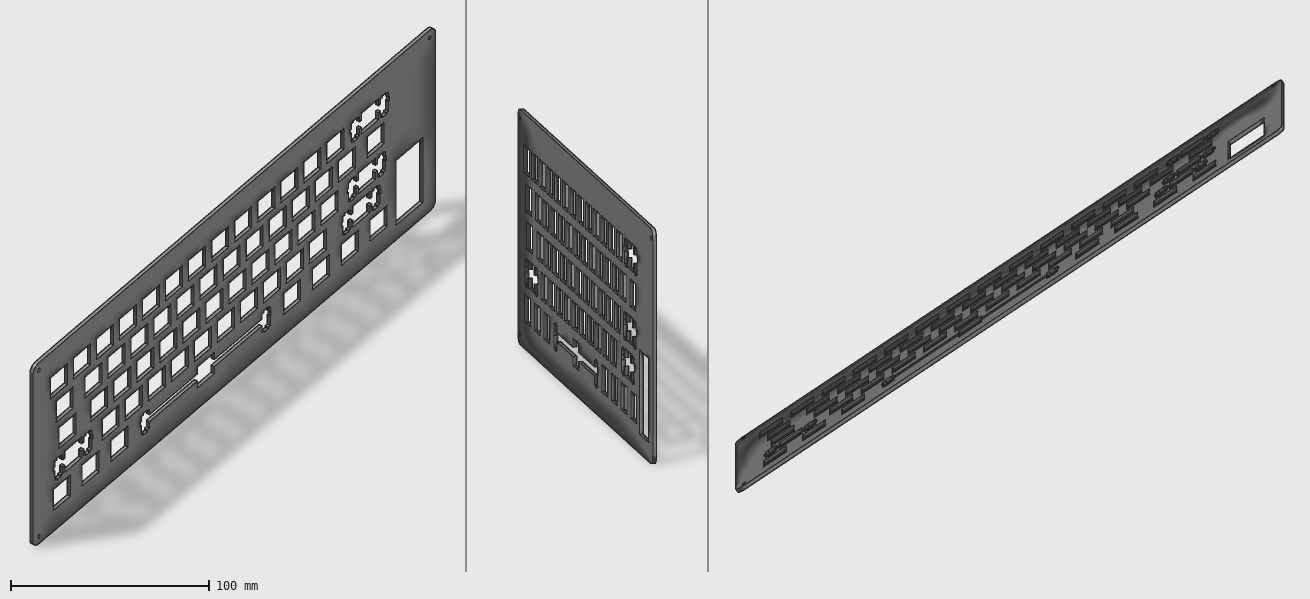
import cadquery as cq

PLATE_THICKNESS = 2.0
PLATE_LENGTH = 333.0
PLATE_HEIGHT = 121.0
CORNER_RADIUS = 5.0

SCREW_DIAMETER = 2.0
SCREW_INSET = 5.0

WINDOW_LENGTH = 22.0
WINDOW_HEIGHT = 43.3
WINDOW_Y = 145.0
WINDOW_Z = -29.0

ROW_UNITS = 15
ROW_LENGTH = 285.7
KEY_PITCH = ROW_LENGTH / ROW_UNITS
SWITCH_SIZE = 14.0
FIELD_Y = -11.5
FIELD_Z = -1.3
SPACEBAR_WIDTH = 6.25

KEY_ROWS = [
    [2] + [1] * 13,
    [1.5] + [1] * 12 + [1.5],
    [2.25] + [1] * 11 + [1.75],
    [2.75] + [1] * 10 + [2.25],
    [1.25] * 4 + [SPACEBAR_WIDTH] + [1.25] * 3,
]

STABILIZED_WIDTH = 2
STABILIZER_OFFSET = 12.0
SPACEBAR_STABILIZER_OFFSET = 50.0
CHANNEL_HEIGHT = 4.5
HOUSING_WIDTH = 6.5
HOUSING_TOP = 5.5
HOUSING_BOTTOM = -6.5
CLIP_WIDTH = 3.3
CLIP_TOP = 6.5
CLIP_BOTTOM = -7.5
NOTCH_DEPTH = 0.8
NOTCH_TOP = 2.3
NOTCH_BOTTOM = -0.5


def opening(y_start, y_end, z_start, z_end):
    """Rectangular cutter through the plate between two opposite corners."""
    centre = (0, (y_start + y_end) / 2, (z_start + z_end) / 2)
    size = (PLATE_THICKNESS, abs(y_end - y_start), abs(z_end - z_start))
    return cq.Workplane("XY", origin=centre).box(*size).val()


def centred_opening(y, z, length, height):
    """Rectangular cutter through the plate around a centre point."""
    return opening(y - length / 2, y + length / 2, z - height / 2, z + height / 2)


def stabilizer_openings(y, z, offset):
    """Connecting channel and the two notched stabilizer slots of one wide key."""
    half_housing = HOUSING_WIDTH / 2
    half_clip = CLIP_WIDTH / 2
    cutters = [centred_opening(y, z, 2 * offset, CHANNEL_HEIGHT)]
    for side in (-1, 1):
        slot_y = y + side * offset
        notch_y = slot_y + side * (half_housing + NOTCH_DEPTH)
        cutters += [
            opening(slot_y - half_housing, slot_y + half_housing, z + HOUSING_BOTTOM, z + HOUSING_TOP),
            opening(slot_y - half_clip, slot_y + half_clip, z + CLIP_BOTTOM, z + CLIP_TOP),
            opening(slot_y, notch_y, z + NOTCH_BOTTOM, z + NOTCH_TOP),
        ]
    return cutters


def key_openings(y, z, width):
    """Switch opening of one key, with stabilizer slots when the key is wide."""
    cutters = [centred_opening(y, z, SWITCH_SIZE, SWITCH_SIZE)]
    if width == SPACEBAR_WIDTH:
        cutters += stabilizer_openings(y, z, SPACEBAR_STABILIZER_OFFSET)
    elif width >= STABILIZED_WIDTH:
        cutters += stabilizer_openings(y, z, STABILIZER_OFFSET)
    return cutters


def all_key_openings():
    """Openings of every key, row by row."""
    cutters = []
    middle_row = (len(KEY_ROWS) - 1) / 2
    for row, widths in enumerate(KEY_ROWS):
        z = FIELD_Z + (middle_row - row) * KEY_PITCH
        key_edge = FIELD_Y + ROW_LENGTH / 2
        for width in widths:
            key_length = width * KEY_PITCH
            cutters += key_openings(key_edge - key_length / 2, z, width)
            key_edge -= key_length
    return cutters


def screw_holes():
    """Round through holes in all corners except the one at +Y, -Z."""
    hole_y = PLATE_LENGTH / 2 - SCREW_INSET
    hole_z = PLATE_HEIGHT / 2 - SCREW_INSET
    return (
        cq.Workplane("YZ")
        .pushPoints([(hole_y, hole_z), (-hole_y, hole_z), (-hole_y, -hole_z)])
        .circle(SCREW_DIAMETER / 2)
        .extrude(PLATE_THICKNESS / 2, both=True)
    )


plate = (
    cq.Workplane("XY")
    .box(PLATE_THICKNESS, PLATE_LENGTH, PLATE_HEIGHT)
    .edges("|X")
    .fillet(CORNER_RADIUS)
)
window = centred_opening(WINDOW_Y, WINDOW_Z, WINDOW_LENGTH, WINDOW_HEIGHT)
cut_plate = plate.cut(screw_holes()).val().cut(window, *all_key_openings())
result = cq.Workplane("XY").newObject([cut_plate.Solids()[0]])